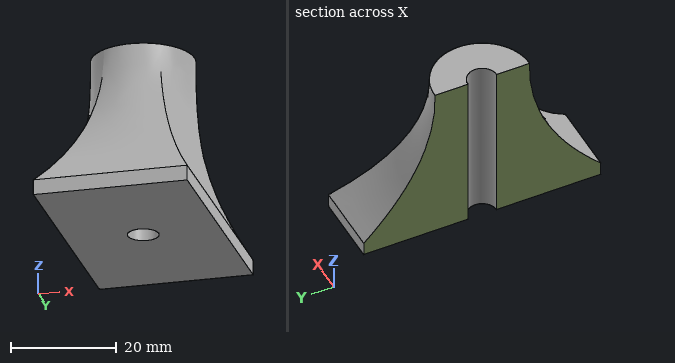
import cadquery as cq
import math

base_width = 30.0
base_length = 50.0
total_height = 35.0
plate_thickness = 3.0
neck_diameter = 20.0
bore_diameter = 6.0
corner_angle = 57.0
section_count = 9

corner_flare = 2.1
end_flare = 2.2
side_flare = 3.3

half_width = base_width / 2
half_length = base_length / 2
neck_radius = neck_diameter / 2
flare_height = total_height - plate_thickness
neck_corner_x = neck_radius * math.cos(math.radians(corner_angle))
neck_corner_y = neck_radius * math.sin(math.radians(corner_angle))


def spread(neck_size, base_size, drop, exponent):
    """Half size of the flare at a drop of 0 (neck) to 1 (plate)."""
    return neck_size + (base_size - neck_size) * drop**exponent


def flare_section(drop):
    """Closed four-sided outline, with bulged sides, at one level of the flare."""
    z = total_height - flare_height * drop
    corner_x = spread(neck_corner_x, half_width, drop, corner_flare)
    corner_y = spread(neck_corner_y, half_length, drop, corner_flare)
    side_x = spread(neck_radius, half_width, drop, side_flare)
    end_y = spread(neck_radius, half_length, drop, end_flare)
    outline = cq.Workplane("XY", origin=(0, 0, z)).moveTo(corner_x, corner_y)
    if drop == 1:
        outline = (
            outline.lineTo(-corner_x, corner_y)
            .lineTo(-corner_x, -corner_y)
            .lineTo(corner_x, -corner_y)
        )
    else:
        outline = (
            outline.threePointArc((0, end_y), (-corner_x, corner_y))
            .threePointArc((-side_x, 0), (-corner_x, -corner_y))
            .threePointArc((0, -end_y), (corner_x, -corner_y))
            .threePointArc((side_x, 0), (corner_x, corner_y))
        )
    return outline.close().val()


drops = [1 - i / (section_count - 1) for i in range(section_count)]
flare = cq.Workplane(cq.Solid.makeLoft([flare_section(drop) for drop in drops]))

plate = cq.Workplane("XY").box(
    base_width, base_length, plate_thickness, centered=(True, True, False)
)

bore = cq.Workplane("XY").circle(bore_diameter / 2).extrude(total_height)

result = plate.union(flare).cut(bore)